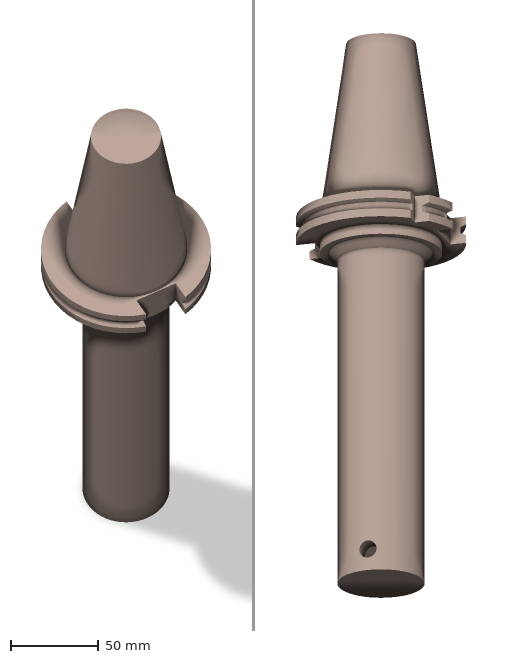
import cadquery as cq

GAUGE_DIAMETER = 69.85
TAPER_LENGTH = 101.75
TAPER_RATIO = 7 / 24
TIP_DIAMETER = GAUGE_DIAMETER - TAPER_LENGTH * TAPER_RATIO

FLANGE_DIAMETER = 97.5
FLANGE_TOP_Z = -3.2
FLANGE_BOTTOM_Z = -19.1
FLANGE_THICKNESS = FLANGE_TOP_Z - FLANGE_BOTTOM_Z

GROOVE_CENTRE_Z = -11.1
GROOVE_FLOOR_DIAMETER = 91.25
GROOVE_FLOOR_WIDTH = 3.75
GROOVE_MOUTH_WIDTH = 6.5

SLOT_WIDTH = 25.7
LEFT_SLOT_FLOOR = 37.7
RIGHT_SLOT_FLOOR = 35.5

NOTCH_CORNER_X = -30.0
NOTCH_CORNER_Y = 30.0

COLLAR_DIAMETER = 70.1
COLLAR_BOTTOM_Z = -25.0
SHANK_DIAMETER = 50.0
SHANK_BOTTOM_Z = -225.0
NECK_LENGTH = 5.0
NECK_TOP_DIAMETER = SHANK_DIAMETER + 2 * NECK_LENGTH

SCREW_HOLE_DIAMETER = 10.3
SCREW_HOLE_HEIGHT = 12.75
SCREW_HOLE_DEPTH = 11.0


def turned_body():
    """Revolve the half outline of taper, flange, collar, neck and shank."""
    half_mouth = GROOVE_MOUTH_WIDTH / 2
    half_floor = GROOVE_FLOOR_WIDTH / 2
    outline = [
        (0, TAPER_LENGTH),
        (TIP_DIAMETER / 2, TAPER_LENGTH),
        (GAUGE_DIAMETER / 2, 0),
        (GAUGE_DIAMETER / 2, FLANGE_TOP_Z),
        (FLANGE_DIAMETER / 2, FLANGE_TOP_Z),
        (FLANGE_DIAMETER / 2, GROOVE_CENTRE_Z + half_mouth),
        (GROOVE_FLOOR_DIAMETER / 2, GROOVE_CENTRE_Z + half_floor),
        (GROOVE_FLOOR_DIAMETER / 2, GROOVE_CENTRE_Z - half_floor),
        (FLANGE_DIAMETER / 2, GROOVE_CENTRE_Z - half_mouth),
        (FLANGE_DIAMETER / 2, FLANGE_BOTTOM_Z),
        (COLLAR_DIAMETER / 2, FLANGE_BOTTOM_Z),
        (COLLAR_DIAMETER / 2, COLLAR_BOTTOM_Z),
        (NECK_TOP_DIAMETER / 2, COLLAR_BOTTOM_Z),
        (SHANK_DIAMETER / 2, COLLAR_BOTTOM_Z - NECK_LENGTH),
        (SHANK_DIAMETER / 2, SHANK_BOTTOM_Z),
        (0, SHANK_BOTTOM_Z),
    ]
    return cq.Workplane("XZ").polyline(outline).close().revolve(360, (0, 0), (0, 1))


def flange_block(x_min, x_max, y_min, y_max):
    """Rectangular cutter spanning the full flange thickness."""
    size_x = x_max - x_min
    size_y = y_max - y_min
    block = cq.Workplane("XY").box(size_x, size_y, FLANGE_THICKNESS, centered=False)
    return block.translate((x_min, y_min, FLANGE_BOTTOM_Z))


def drive_slots():
    """Two unequally deep slots opposite each other."""
    half_width = SLOT_WIDTH / 2
    left = flange_block(-FLANGE_DIAMETER, -LEFT_SLOT_FLOOR, -half_width, half_width)
    right = flange_block(RIGHT_SLOT_FLOOR, FLANGE_DIAMETER, -half_width, half_width)
    return left.union(right)


def orientation_notch():
    """Corner cut-out reaching from its inner corner past the flange rim."""
    return flange_block(-FLANGE_DIAMETER, NOTCH_CORNER_X, NOTCH_CORNER_Y, FLANGE_DIAMETER)


def screw_hole():
    """Blind radial hole entering the shank from +Y."""
    floor_y = SHANK_DIAMETER / 2 - SCREW_HOLE_DEPTH
    axis_z = SHANK_BOTTOM_Z + SCREW_HOLE_HEIGHT
    plane = cq.Workplane("XZ", origin=(0, floor_y, axis_z))
    return plane.circle(SCREW_HOLE_DIAMETER / 2).extrude(-SHANK_DIAMETER)


result = turned_body().cut(drive_slots()).cut(orientation_notch()).cut(screw_hole())